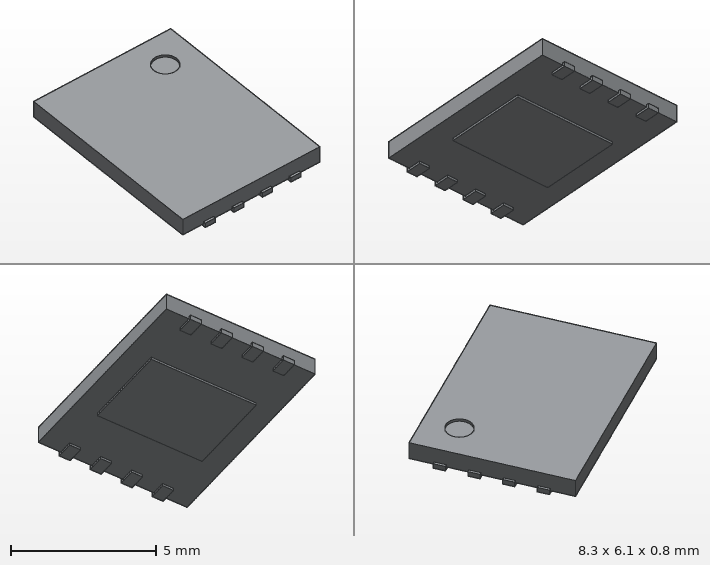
import cadquery as cq

overall_length = 8.3
overall_height = 0.8

lead_overhang = 0.1
standoff = 0.1
housing_length = overall_length - 2 * lead_overhang
housing_width = 6.1
housing_height = overall_height - standoff

marker_diameter = 1.01
marker_depth = 0.1
marker_inset = 1.35

leads_per_side = 4
lead_pitch = 1.27
lead_width = 0.45
lead_length = 0.66
lead_height = 0.2

pad_length = 3.42
pad_width = 4.3


def make_housing():
    """Flat rectangular block with the pin-1 recess in its top face."""
    block = (
        cq.Workplane("XY")
        .workplane(offset=standoff)
        .rect(housing_length, housing_width)
        .extrude(housing_height)
    )
    marker_x = -housing_length / 2 + marker_inset
    marker_y = housing_width / 2 - marker_inset
    recess = (
        cq.Workplane("XY")
        .workplane(offset=overall_height - marker_depth)
        .center(marker_x, marker_y)
        .circle(marker_diameter / 2)
        .extrude(marker_depth)
    )
    return block.cut(recess)


def make_lead(side, y_centre):
    """One lead: a foot under the housing and a lip up its side wall (side is -1 or +1 along X)."""
    outer_x = side * overall_length / 2
    wall_x = side * housing_length / 2
    inner_x = outer_x - side * lead_length
    profile = [
        (inner_x, 0),
        (outer_x, 0),
        (outer_x, lead_height),
        (wall_x, lead_height),
        (wall_x, standoff),
        (inner_x, standoff),
    ]
    return (
        cq.Workplane("XZ", origin=(0, y_centre, 0))
        .polyline(profile)
        .close()
        .extrude(lead_width / 2, both=True)
    )


def make_thermal_pad():
    """Rectangular pad filling the standoff below the centre of the housing."""
    return cq.Workplane("XY").rect(pad_length, pad_width).extrude(standoff)


housing = make_housing()
thermal_pad = make_thermal_pad()

leads = []
for side in (-1, 1):
    for index in range(leads_per_side):
        y_centre = (index - (leads_per_side - 1) / 2) * lead_pitch
        leads.append(make_lead(side, y_centre))

result = cq.Compound.makeCompound(
    [housing.val(), thermal_pad.val(), *[lead.val() for lead in leads]]
)